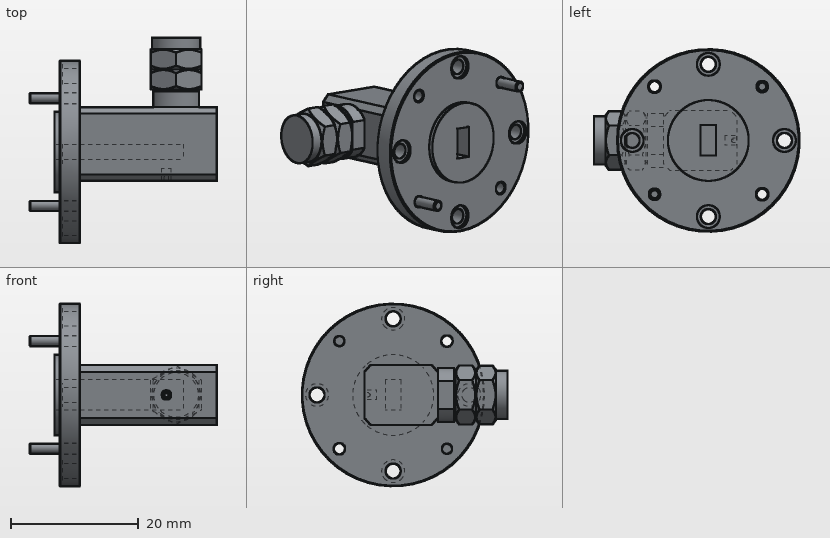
import cadquery as cq
import math


FLANGE_DIAMETER = 28.57
FLANGE_THICKNESS = 3.25
FLANGE_FRONT_CHAMFER = 0.15
FLANGE_REAR_CHAMFER = 0.1
BOSS_DIAMETER = 12.65
BOSS_HEIGHT = 0.77

BOLT_CIRCLE_RADIUS = 11.9
SCREW_HOLE_DIAMETER = 2.32
COUNTERBORE_DIAMETER = 3.57
COUNTERBORE_DEPTH = 0.5
SCREW_HOLE_ANGLES = (0, 90, 180, 270)
MATING_HOLE_DIAMETER = 1.75
MATING_HOLE_CHAMFER = 0.13
MATING_HOLE_ANGLES = (45, 225)
PIN_ANGLES = (135, 315)
PIN_DIAMETER = 1.6
PIN_HOLE_CHAMFER = 0.1
PIN_PROTRUSION = 4.63
PIN_TIP_CHAMFER = 0.15

BLOCK_END_X = 24.65
BLOCK_TOP_Y = 7.0
BLOCK_BOTTOM_Y = -4.5
BLOCK_HEIGHT = 9.4
BLOCK_CHAMFER_Y = 1.0
BLOCK_CHAMFER_Z = 1.1

WAVEGUIDE_HEIGHT = 4.75
WAVEGUIDE_WIDTH = WAVEGUIDE_HEIGHT / 2

SET_SCREW_X = 16.75
SET_SCREW_DIAMETER = 1.48
SET_SCREW_LENGTH = 1.93
SET_SCREW_CHAMFER = 0.13
SOCKET_DIAMETER = 0.7
SOCKET_MOUTH_DIAMETER = 0.9
SOCKET_DEPTH = 0.65

CONNECTOR_X = 18.27
WAVEGUIDE_END_X = CONNECTOR_X + WAVEGUIDE_WIDTH / 2
SLEEVE_DIAMETER = 8.43
SLEEVE_ACROSS_FLATS = 7.17
SLEEVE_LENGTH = 2.48
NECK_DIAMETER = 6.98
NECK_LENGTH = 0.25
HEX_ACROSS_FLATS = 7.98
HEX_LENGTH = 3.2
HEX_END_DIAMETER = 7.7
HEX_CHAMFER_LENGTH = 0.58
COLLAR_DIAMETER = 7.6
COLLAR_LENGTH = 1.77

HEX_ACROSS_CORNERS = HEX_ACROSS_FLATS / math.cos(math.radians(30))
HEX_START_Y = BLOCK_TOP_Y + SLEEVE_LENGTH + NECK_LENGTH
NUT_START_Y = HEX_START_Y + HEX_LENGTH


def cylinder_x(diameter, start_x, end_x, y=0, z=0):
    """Cylinder along X between two X positions."""
    return cq.Workplane("YZ", origin=(start_x, y, z)).circle(diameter / 2).extrude(end_x - start_x)


def plane_facing_y(x, y):
    """Work plane facing +Y, its own x axis pointing along +Z."""
    return cq.Workplane(cq.Plane(origin=(x, y, 0), xDir=(0, 0, 1), normal=(0, 1, 0)))


def cylinder_y(diameter, x, start_y, length):
    """Cylinder growing towards +Y at the given X."""
    return plane_facing_y(x, start_y).circle(diameter / 2).extrude(length)


def on_bolt_circle(angle):
    """Y and Z of a place on the bolt circle, the angle being measured from +Y."""
    turn = math.radians(angle)
    return BOLT_CIRCLE_RADIUS * math.cos(turn), BOLT_CIRCLE_RADIUS * math.sin(turn)


def make_chamfered_hole(diameter, chamfer, angle):
    """Cutter for a hole through the flange, with a 45 degree chamfer at the front face."""
    y, z = on_bolt_circle(angle)
    mouth = cq.Solid.makeCone(
        diameter / 2 + chamfer,
        diameter / 2,
        chamfer,
        pnt=cq.Vector(0, y, z),
        dir=cq.Vector(1, 0, 0),
    )
    return cylinder_x(diameter, 0, FLANGE_THICKNESS, y, z).union(cq.Workplane(mouth))


def make_block():
    """Block with four chamfered long edges."""
    half_height = BLOCK_HEIGHT / 2
    return (
        cq.Workplane("YZ", origin=(FLANGE_THICKNESS, 0, 0))
        .moveTo(BLOCK_BOTTOM_Y + BLOCK_CHAMFER_Y, -half_height)
        .lineTo(BLOCK_TOP_Y - BLOCK_CHAMFER_Y, -half_height)
        .lineTo(BLOCK_TOP_Y, -half_height + BLOCK_CHAMFER_Z)
        .lineTo(BLOCK_TOP_Y, half_height - BLOCK_CHAMFER_Z)
        .lineTo(BLOCK_TOP_Y - BLOCK_CHAMFER_Y, half_height)
        .lineTo(BLOCK_BOTTOM_Y + BLOCK_CHAMFER_Y, half_height)
        .lineTo(BLOCK_BOTTOM_Y, half_height - BLOCK_CHAMFER_Z)
        .lineTo(BLOCK_BOTTOM_Y, -half_height + BLOCK_CHAMFER_Z)
        .close()
        .extrude(BLOCK_END_X - FLANGE_THICKNESS)
    )


def make_flange():
    """Flange disc with its boss, counterbored screw holes, mating holes and pin holes."""
    flange = cylinder_x(FLANGE_DIAMETER, 0, FLANGE_THICKNESS)
    flange = flange.faces("<X").edges().chamfer(FLANGE_FRONT_CHAMFER)
    flange = flange.faces(">X").edges().chamfer(FLANGE_REAR_CHAMFER)
    flange = flange.union(cylinder_x(BOSS_DIAMETER, -BOSS_HEIGHT, 0))

    for angle in SCREW_HOLE_ANGLES:
        y, z = on_bolt_circle(angle)
        flange = flange.cut(cylinder_x(SCREW_HOLE_DIAMETER, 0, FLANGE_THICKNESS, y, z))
        flange = flange.cut(cylinder_x(COUNTERBORE_DIAMETER, 0, COUNTERBORE_DEPTH, y, z))

    for angle in MATING_HOLE_ANGLES:
        flange = flange.cut(make_chamfered_hole(MATING_HOLE_DIAMETER, MATING_HOLE_CHAMFER, angle))
    for angle in PIN_ANGLES:
        flange = flange.cut(make_chamfered_hole(PIN_DIAMETER, PIN_HOLE_CHAMFER, angle))
    return flange


def set_screw_blank():
    """Full cylinder taken up by the set screw, from the block side inwards."""
    return cylinder_y(SET_SCREW_DIAMETER, SET_SCREW_X, BLOCK_BOTTOM_Y, SET_SCREW_LENGTH)


def make_housing():
    """Flange and block in one piece, with the waveguide and the set screw hole."""
    waveguide = (
        cq.Workplane("YZ", origin=(-BOSS_HEIGHT, 0, 0))
        .rect(WAVEGUIDE_WIDTH, WAVEGUIDE_HEIGHT)
        .extrude(WAVEGUIDE_END_X + BOSS_HEIGHT)
    )
    return make_flange().union(make_block()).cut(waveguide).cut(set_screw_blank())


def make_pin(angle):
    """Alignment pin through the flange, with a chamfered tip."""
    pin = cylinder_x(PIN_DIAMETER, -PIN_PROTRUSION, FLANGE_THICKNESS, *on_bolt_circle(angle))
    return pin.faces("<X").edges().chamfer(PIN_TIP_CHAMFER)


def make_set_screw():
    """Set screw with a chamfered outer end and a round socket: countersunk mouth, 45 degree point."""
    screw = set_screw_blank().faces("<Y").edges().chamfer(SET_SCREW_CHAMFER)
    mouth_radius = SOCKET_MOUTH_DIAMETER / 2
    socket_radius = SOCKET_DIAMETER / 2
    bottom_y = BLOCK_BOTTOM_Y + SOCKET_DEPTH
    socket = (
        cq.Workplane("XY", origin=(SET_SCREW_X, 0, 0))
        .moveTo(0, BLOCK_BOTTOM_Y)
        .lineTo(mouth_radius, BLOCK_BOTTOM_Y)
        .lineTo(socket_radius, BLOCK_BOTTOM_Y + mouth_radius - socket_radius)
        .lineTo(socket_radius, bottom_y)
        .lineTo(0, bottom_y + socket_radius)
        .close()
        .revolve(360, (0, 0, 0), (0, 1, 0))
    )
    return screw.cut(socket)


def make_hexagon(start_y):
    """Hexagon with corners at +Z and -Z, both ends turned down by a cone."""
    hexagon = plane_facing_y(CONNECTOR_X, start_y).polygon(6, HEX_ACROSS_CORNERS).extrude(HEX_LENGTH)
    end_radius = HEX_END_DIAMETER / 2
    corner_radius = HEX_ACROSS_CORNERS / 2
    end_y = start_y + HEX_LENGTH
    turned_envelope = (
        cq.Workplane("XY", origin=(CONNECTOR_X, 0, 0))
        .moveTo(0, start_y)
        .lineTo(end_radius, start_y)
        .lineTo(corner_radius, start_y + HEX_CHAMFER_LENGTH)
        .lineTo(corner_radius, end_y - HEX_CHAMFER_LENGTH)
        .lineTo(end_radius, end_y)
        .lineTo(0, end_y)
        .close()
        .revolve(360, (0, 0, 0), (0, 1, 0))
    )
    return hexagon.intersect(turned_envelope)


def make_connector_body():
    """Sleeve with two flats facing -X and +X, short neck and rear hexagon."""
    between_flats = cq.Workplane("XY").box(
        SLEEVE_ACROSS_FLATS, SLEEVE_LENGTH, SLEEVE_DIAMETER, centered=(True, False, True)
    )
    between_flats = between_flats.translate((CONNECTOR_X, BLOCK_TOP_Y, 0))
    sleeve = cylinder_y(SLEEVE_DIAMETER, CONNECTOR_X, BLOCK_TOP_Y, SLEEVE_LENGTH)
    sleeve = sleeve.intersect(between_flats)
    neck = cylinder_y(NECK_DIAMETER, CONNECTOR_X, BLOCK_TOP_Y + SLEEVE_LENGTH, NECK_LENGTH)
    return sleeve.union(neck).union(make_hexagon(HEX_START_Y))


def make_coupling_nut():
    """Front hexagon with a round collar at its end."""
    collar = cylinder_y(COLLAR_DIAMETER, CONNECTOR_X, NUT_START_Y + HEX_LENGTH, COLLAR_LENGTH)
    return make_hexagon(NUT_START_Y).union(collar)


housing = make_housing()
pins = [make_pin(angle) for angle in PIN_ANGLES]
set_screw = make_set_screw()
connector_body = make_connector_body()
coupling_nut = make_coupling_nut()

result = cq.Compound.makeCompound(
    [
        housing.val(),
        *[pin.val() for pin in pins],
        set_screw.val(),
        connector_body.val(),
        coupling_nut.val(),
    ]
)